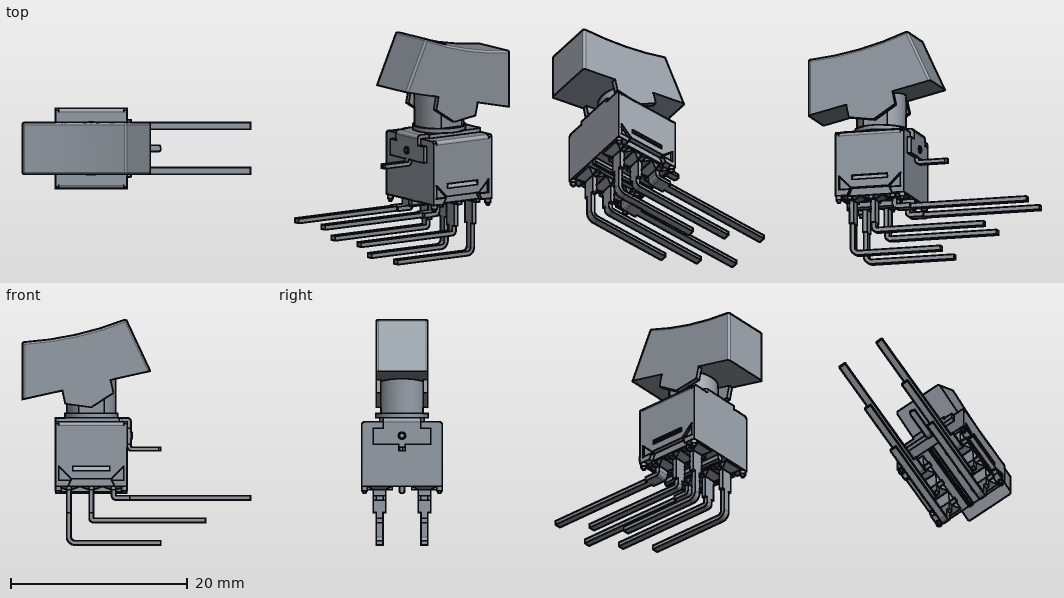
import cadquery as cq


HOUSING_LENGTH = 8.13
HOUSING_WIDTH = 9.14
HOUSING_HEIGHT = 7.33
WALL = 0.41
WALL_CHAMFER = 0.24
PANEL_BEND_RADIUS = 0.4
PANEL_THICKNESS = 0.3
FRAME_SILL = 0.7
PANEL_CORNER_CUT = 1.4
NOTCH_TOP_HALF = 2.25
NOTCH_BOTTOM_HALF = 2.65
NOTCH_HEIGHT = 0.86
NOTCH_DEPTH = 0.55
LATCH_LENGTH = 4.18
LATCH_BOTTOM = 1.78
LATCH_TOP = 2.28

POST_DIAMETER = 0.65
POST_HEIGHT = 0.47
STANDOFF_HEIGHT = 0.79
POST_TIP_BASE_RADIUS = 0.27
POST_TIP_END_RADIUS = 0.12
RIB_LENGTH = 8.0
RIB_WIDTH = 0.58
RIB_CHAMFER = 0.2

BRACKET_THICKNESS = 0.44
BRACKET_WIDTH = 5.08
BRACKET_CORNER_RADIUS = 0.27
BRACKET_NECK_WIDTH = 4.2
BRACKET_NECK_START = 3.19
BRACKET_NECK_FILLET = 0.25
BRACKET_BEND_RADIUS = 0.42
LEG_WIDTH = 6.46
LEG_TOP = 6.6
LEG_BOTTOM = 4.75
TAIL_WIDTH = 0.72
TAIL_BOTTOM = 4.02
TAIL_CHAMFER = 0.25
TAIL_OUTER_BEND = 0.5
TAIL_INNER_BEND = 0.1
DIMPLE_DIAMETER = 0.8
DIMPLE_HEIGHT = 0.15
DIMPLE_Z = 5.75
DIMPLE_EDGE = 0.1

COLLAR_DIAMETER = 6.0
COLLAR_HEIGHT = 0.5
NECK_DIAMETER = 5.6
NECK_FLAT_WIDTH = 4.8
NECK_TOP = 12.6

CAP_TILT = 12.5
CAP_TIP_Z = 8.96
CAP_WIDTH = 5.88
CAP_BASE_HALF = 7.42
CAP_TOP_HALF = 6.01
CAP_BASE_Z = 2.55
CAP_TOP_Z = 8.9
CAP_DISH_Z = 8.42
CAP_FILLET = 0.25
CHEEK_HALF = 2.8
CHEEK_CORNER_Z = 1.04

PITCH = 2.54
PIN_THICKNESS = 0.51
PIN_WIDTH = 0.79
SHANK_WIDTH = 1.44
SHANK_BOTTOM = -2.97
SHANK_END_X = 4.37
SHOULDER_WIDTH = 2.88
SHOULDER_HEIGHT = 0.39
LOWEST_PIN_Z = -6.64
SHORTEST_PIN_X = 7.88
REACH_STEP = 2 * PITCH
LONG_BEND_RADIUS = 0.95
SHORT_BEND_RADIUS = 0.56
SEAL_LENGTH = 2.5
SEAL_WIDTH = 2.56

HALF_LENGTH = HOUSING_LENGTH / 2
HALF_WIDTH = HOUSING_WIDTH / 2
PANEL_HALF = HALF_LENGTH - WALL
BRACKET_TOP = HOUSING_HEIGHT + BRACKET_THICKNESS
LEG_OUTER_X = HALF_LENGTH + BRACKET_THICKNESS


def block(x_range, y_range, z_range):
    """Axis-aligned box between the given limits."""
    size = [high - low for low, high in (x_range, y_range, z_range)]
    return cq.Workplane("XY").box(*size, centered=False).translate((x_range[0], y_range[0], z_range[0]))


def centred_prism(outline, width):
    """Extrude an outline in XZ evenly about the mid plane."""
    return outline.extrude(width / 2, both=True)


def on_both_sides(front_feature):
    """The feature and its mirror image across the mid plane."""
    return front_feature.union(front_feature.mirror("XZ"))


def front_prism(outline, depth):
    """Extrude an XZ outline inward from the front face of the housing."""
    return outline.extrude(-depth).translate((0, -HALF_WIDTH, 0))


def panel_corner(side):
    """Recess between the cut corner of the panel and the frame."""
    edge_x = side * PANEL_HALF
    inner_x = side * (PANEL_HALF - PANEL_CORNER_CUT)
    corner_top = NOTCH_HEIGHT + PANEL_CORNER_CUT
    outline = (
        cq.Workplane("XZ")
        .moveTo(edge_x, FRAME_SILL)
        .lineTo(edge_x, corner_top)
        .lineTo(inner_x, NOTCH_HEIGHT)
        .lineTo(inner_x, FRAME_SILL)
        .close()
    )
    return front_prism(outline, PANEL_THICKNESS)


def bottom_notch():
    """Trapezoidal opening under the panel."""
    outline = cq.Workplane("XZ").polyline([
        (-NOTCH_BOTTOM_HALF, 0),
        (NOTCH_BOTTOM_HALF, 0),
        (NOTCH_TOP_HALF, NOTCH_HEIGHT),
        (-NOTCH_TOP_HALF, NOTCH_HEIGHT),
    ]).close()
    return front_prism(outline, NOTCH_DEPTH)


def latch_pocket():
    """Wedge-shaped latch window whose floor slopes out to the panel face."""
    outline = cq.Workplane("YZ").polyline([
        (-HALF_WIDTH, LATCH_BOTTOM),
        (-HALF_WIDTH, LATCH_TOP),
        (-HALF_WIDTH + PANEL_THICKNESS, LATCH_TOP),
    ]).close()
    return outline.extrude(LATCH_LENGTH / 2, both=True)


def make_housing():
    """Housing with a rounded cover panel between two side walls."""
    height = (0, HOUSING_HEIGHT)
    width = (-HALF_WIDTH, HALF_WIDTH)
    housing = block((-PANEL_HALF, PANEL_HALF), width, height).edges("|X and >Z").fillet(PANEL_BEND_RADIUS)
    for x_range in ((-HALF_LENGTH, -PANEL_HALF), (PANEL_HALF, HALF_LENGTH)):
        wall = block(x_range, width, height).edges("|X and >Z").chamfer(WALL_CHAMFER)
        housing = housing.union(wall)
    recesses = bottom_notch().union(latch_pocket()).union(panel_corner(-1)).union(panel_corner(1))
    return housing.cut(on_both_sides(recesses))


def make_post(x, y):
    """Corner standoff with a tapered tip."""
    shaft = cq.Workplane("XY").circle(POST_DIAMETER / 2).extrude(-POST_HEIGHT)
    tip = (
        cq.Workplane("XY", origin=(0, 0, -POST_HEIGHT))
        .circle(POST_TIP_BASE_RADIUS)
        .workplane(offset=POST_HEIGHT - STANDOFF_HEIGHT)
        .circle(POST_TIP_END_RADIUS)
        .loft()
    )
    return shaft.union(tip).translate((x, y, 0))


def make_standoffs():
    """Four corner posts and a chamfered middle rib."""
    rib = cq.Workplane("XY").rect(RIB_LENGTH, RIB_WIDTH).extrude(-STANDOFF_HEIGHT)
    standoffs = rib.edges("|X and <Z").chamfer(RIB_CHAMFER)
    post_x = HALF_LENGTH - POST_DIAMETER / 2
    post_y = HALF_WIDTH - POST_DIAMETER / 2
    for x in (-post_x, post_x):
        for y in (-post_y, post_y):
            standoffs = standoffs.union(make_post(x, y))
    return standoffs


def make_bracket():
    """Top plate that narrows and bends down the +X side into a wide leg with a solder tail."""
    top_z = (HOUSING_HEIGHT, BRACKET_TOP)
    half_width = BRACKET_WIDTH / 2
    half_neck = BRACKET_NECK_WIDTH / 2
    plate = block((-HALF_LENGTH, BRACKET_NECK_START), (-half_width, half_width), top_z)
    plate = plate.edges("|Z and <X").fillet(BRACKET_CORNER_RADIUS)
    neck = block((0, LEG_OUTER_X), (-half_neck, half_neck), top_z)
    plate = plate.union(neck)
    for side in (-1, 1):
        corner_point = (BRACKET_NECK_START, side * half_neck, BRACKET_TOP)
        inner_corner = cq.selectors.NearestToPointSelector(corner_point)
        plate = plate.edges("|Z").edges(inner_corner).fillet(BRACKET_NECK_FILLET)

    leg_x = (HALF_LENGTH, LEG_OUTER_X)
    upper_leg = block(leg_x, (-half_neck, half_neck), (LEG_BOTTOM, HOUSING_HEIGHT))
    plate = plate.union(upper_leg).edges("|Y and >X and >Z").fillet(BRACKET_BEND_RADIUS)
    leg = block(leg_x, (-LEG_WIDTH / 2, LEG_WIDTH / 2), (LEG_BOTTOM, LEG_TOP))
    return plate.union(leg).union(make_bracket_tail()).union(make_dimple())


def make_bracket_tail():
    """Narrow solder tail bent outward from the foot of the leg."""
    tail_top = TAIL_BOTTOM + BRACKET_THICKNESS
    outline = (
        cq.Workplane("XZ")
        .moveTo(HALF_LENGTH, LEG_BOTTOM)
        .lineTo(HALF_LENGTH, TAIL_BOTTOM)
        .lineTo(SHORTEST_PIN_X, TAIL_BOTTOM)
        .lineTo(SHORTEST_PIN_X, tail_top)
        .lineTo(LEG_OUTER_X, tail_top)
        .lineTo(LEG_OUTER_X, LEG_BOTTOM)
        .close()
    )
    tail = centred_prism(outline, TAIL_WIDTH)
    tail = tail.edges("|Z and >X").chamfer(TAIL_CHAMFER, TAIL_CHAMFER / 2)
    tail = tail.edges("|Y").edges("<X and <Z").fillet(TAIL_OUTER_BEND)
    inner_bend = cq.selectors.NearestToPointSelector((LEG_OUTER_X, 0, tail_top))
    return tail.edges("|Y").edges(inner_bend).fillet(TAIL_INNER_BEND)


def make_dimple():
    """Small raised button on the leg."""
    dimple = cq.Workplane("YZ", origin=(LEG_OUTER_X, 0, DIMPLE_Z)).circle(DIMPLE_DIAMETER / 2)
    return dimple.extrude(DIMPLE_HEIGHT).faces(">X").edges().chamfer(DIMPLE_EDGE)


def make_bushing():
    """Round collar and flatted neck that carry the rocker."""
    seat = cq.Workplane("XY", origin=(0, 0, BRACKET_TOP))
    collar = seat.circle(COLLAR_DIAMETER / 2).extrude(COLLAR_HEIGHT)
    neck = seat.circle(NECK_DIAMETER / 2).extrude(NECK_TOP - BRACKET_TOP)
    half_flat = NECK_FLAT_WIDTH / 2
    flats = block((-NECK_DIAMETER, NECK_DIAMETER), (-half_flat, half_flat), (0, NECK_TOP))
    return collar.union(neck.intersect(flats))


def make_cap():
    """Tilted rocker with a dished top and a pair of cheeks astride the bushing."""
    body_outline = (
        cq.Workplane("XZ")
        .moveTo(-CAP_BASE_HALF, CAP_BASE_Z)
        .lineTo(CAP_BASE_HALF, CAP_BASE_Z)
        .lineTo(CAP_TOP_HALF, CAP_TOP_Z)
        .threePointArc((0, CAP_DISH_Z), (-CAP_TOP_HALF, CAP_TOP_Z))
        .close()
    )
    body = centred_prism(body_outline, CAP_WIDTH)
    body = body.edges(cq.selectors.InverseSelector(cq.StringSyntaxSelector("<Z"))).fillet(CAP_FILLET)

    cheek_outline = cq.Workplane("XZ").polyline([
        (-CHEEK_HALF, CAP_BASE_Z + CAP_FILLET),
        (-CHEEK_HALF, CHEEK_CORNER_Z),
        (0, 0),
        (CHEEK_HALF, CHEEK_CORNER_Z),
        (CHEEK_HALF, CAP_BASE_Z + CAP_FILLET),
    ]).close()
    gap = block((-CAP_BASE_HALF, CAP_BASE_HALF), (-NECK_FLAT_WIDTH / 2, NECK_FLAT_WIDTH / 2), (0, CAP_BASE_Z))
    cheeks = centred_prism(cheek_outline, CAP_WIDTH).cut(gap)
    cap = body.union(cheeks)
    return cap.rotate((0, 0, 0), (0, 1, 0), -CAP_TILT).translate((0, 0, CAP_TIP_Z))


def make_terminal(column):
    """Right-angle terminal; column 0 is the longest drop with the shortest reach."""
    x = (column - 1) * PITCH
    left = x - PIN_THICKNESS / 2
    right = x + PIN_THICKNESS / 2
    bottom = LOWEST_PIN_Z + column * PITCH
    top = bottom + PIN_THICKNESS
    end = SHORTEST_PIN_X + column * REACH_STEP
    outer_bend = LONG_BEND_RADIUS if column == 0 else SHORT_BEND_RADIUS
    inner_bend = outer_bend - PIN_THICKNESS
    outline = (
        cq.Workplane("XZ")
        .moveTo(left, HOUSING_HEIGHT / 2)
        .lineTo(left, bottom + outer_bend)
        .radiusArc((left + outer_bend, bottom), -outer_bend)
        .lineTo(end, bottom)
        .lineTo(end, top)
        .lineTo(right + inner_bend, top)
        .radiusArc((right, top + inner_bend), inner_bend)
        .lineTo(right, HOUSING_HEIGHT / 2)
        .close()
    )
    half_shank = SHANK_WIDTH / 2
    half_pin = PIN_WIDTH / 2
    strip = centred_prism(outline, SHANK_WIDTH)
    shank = strip.intersect(
        block((left, SHANK_END_X), (-half_shank, half_shank), (SHANK_BOTTOM, HOUSING_HEIGHT))
    )
    pin = strip.intersect(block((left, end), (-half_pin, half_pin), (bottom, HOUSING_HEIGHT)))
    half_shoulder = SHOULDER_WIDTH / 2
    shoulder = block((left, right), (-half_shoulder, half_shoulder), (-SHOULDER_HEIGHT, NOTCH_HEIGHT))
    seal = (
        cq.Workplane("XY", origin=(x, 0, 0))
        .rect(SEAL_LENGTH, SEAL_WIDTH)
        .workplane(offset=-SHOULDER_HEIGHT)
        .rect(PIN_THICKNESS, SHANK_WIDTH)
        .loft()
    )
    terminal = pin.union(shank).union(shoulder).union(seal)
    return terminal.translate((0, -PITCH, 0))


def make_terminals():
    """Two rows of three terminals."""
    row = make_terminal(0)
    for column in (1, 2):
        row = row.union(make_terminal(column))
    return on_both_sides(row)


result = (
    make_housing()
    .union(make_standoffs())
    .union(make_bracket())
    .union(make_bushing())
    .union(make_cap())
    .union(make_terminals())
)